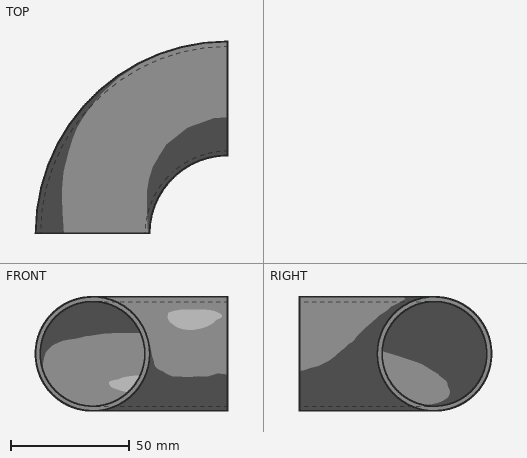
import cadquery as cq

overall_length = 81.15
outer_diameter = 48.3
wall_thickness = 2.0
bend_angle = 90

outer_radius = outer_diameter / 2
inner_radius = outer_radius - wall_thickness
bend_radius = overall_length - outer_radius

pipe_section = (
    cq.Workplane("XZ")
    .center(-bend_radius, 0)
    .circle(outer_radius)
    .circle(inner_radius)
)

axis_start = (bend_radius, 0, 0)
axis_end = (bend_radius, -1, 0)
result = pipe_section.revolve(bend_angle, axis_start, axis_end)